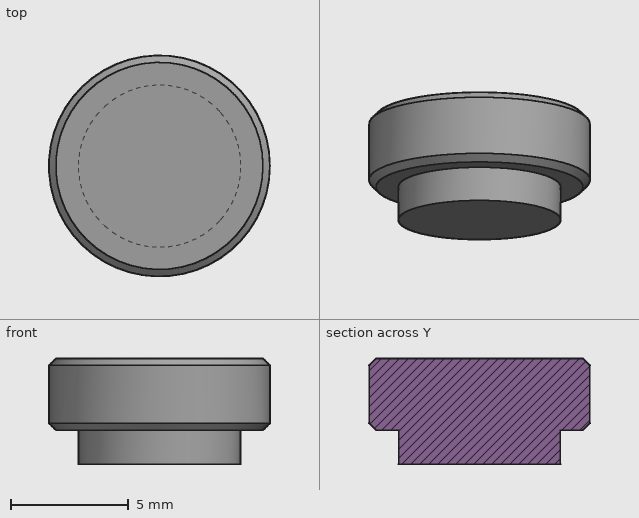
import cadquery as cq

head_diameter = 9.4
stem_diameter = 6.9
total_height = 4.5
stem_height = 1.45
edge_chamfer = 0.3

head_height = total_height - stem_height

head = (
    cq.Workplane("XY")
    .workplane(offset=stem_height)
    .circle(head_diameter / 2)
    .extrude(head_height)
    .edges()
    .chamfer(edge_chamfer)
)

stem = cq.Workplane("XY").circle(stem_diameter / 2).extrude(stem_height)

result = head.union(stem)